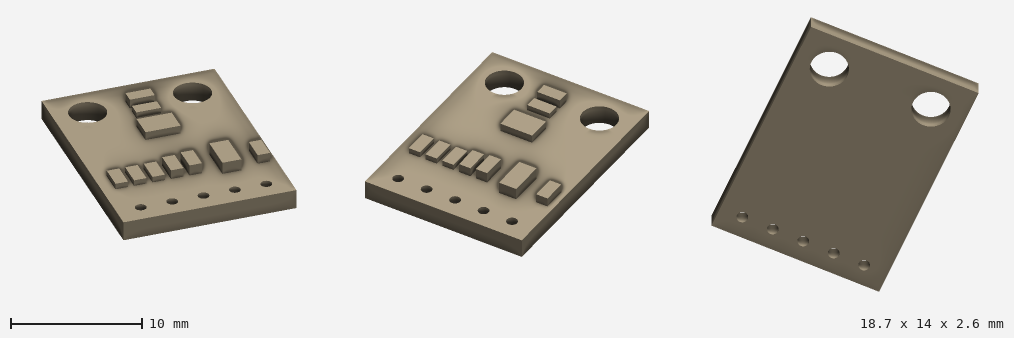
import cadquery as cq

board_length = 18.7
board_width = 14.0
total_height = 2.6
tallest_component = 1.0
board_thickness = total_height - tallest_component

mount_diameter = 3.0
mount_x = -6.6
mount_spacing = 8.49

pin_diameter = 0.9
pin_x = 7.72
pin_row_center_y = 0.05
pin_pitch = 2.55
pin_count = 5

chip_length = 2.02
chip_width = 1.01
thin_chip_height = 0.49
capacitor_height = 0.77
tall_capacitor_height = 0.9

capacitor_x = mount_x
thin_chip_x = -5.12

column_x = 3.6
column_top_y = 0.52
column_pitch = 1.5
column_heights = [tall_capacitor_height, capacitor_height] + [thin_chip_height] * 3

upper_x = 3.74
edge_chip_y = 6.0

large_length = 3.0
large_width = 1.53
large_y = 3.24

sensor_length = 2.02
sensor_width = 2.85
sensor_height = 0.7
sensor_x = -2.37


def make_board():
    """Plain rectangular board with the mounting and pin holes cut through."""
    board = cq.Workplane("XY").box(
        board_length, board_width, board_thickness, centered=(True, True, False)
    )
    mounts = [(mount_x, side * mount_spacing / 2) for side in (-1, 1)]
    first_pin_y = pin_row_center_y - pin_pitch * (pin_count - 1) / 2
    pins = [(pin_x, first_pin_y + i * pin_pitch) for i in range(pin_count)]
    board = board.faces(">Z").workplane(origin=(0, 0, 0)).pushPoints(mounts).hole(mount_diameter)
    return board.faces(">Z").workplane(origin=(0, 0, 0)).pushPoints(pins).hole(pin_diameter)


def component(x, y, length, width, height):
    """Rectangular component standing on the top face of the board."""
    return (
        cq.Workplane("XY", origin=(x, y, board_thickness))
        .box(length, width, height, centered=(True, True, False))
    )


components = [
    component(capacitor_x, 0, chip_width, chip_length, capacitor_height),
    component(thin_chip_x, 0, chip_width, chip_length, thin_chip_height),
    component(sensor_x, 0, sensor_length, sensor_width, sensor_height),
    component(upper_x, large_y, large_length, large_width, tallest_component),
    component(upper_x, edge_chip_y, chip_length, chip_width, capacitor_height),
]
for index, height in enumerate(column_heights):
    chip_y = column_top_y - index * column_pitch
    components.append(component(column_x, chip_y, chip_length, chip_width, height))

result = make_board()
for body in components:
    result = result.union(body)